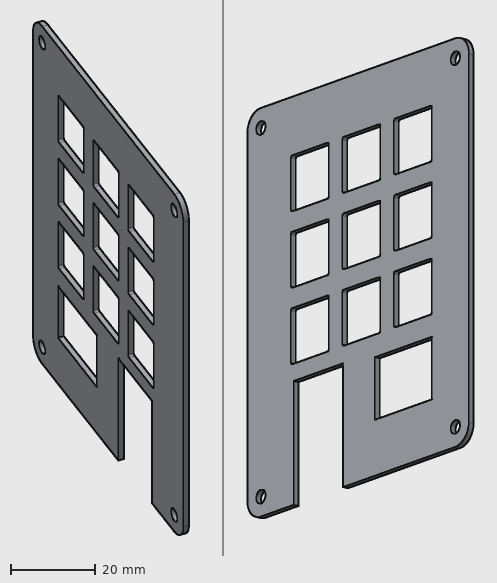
import cadquery as cq

plate_width = 82.0
plate_height = 102.0
plate_thickness = 1.5
corner_radius = 5.0

screw_hole_diameter = 3.4

key_count = 3
key_size = 14.0
key_pitch = 19.1
key_corner_radius = 0.5
key_grid_x = -1.2
key_grid_z = 10.3

window_width = 21.0
window_height = 15.6
window_top = -21.4

slot_left = 5.6
slot_width = 18.3
slot_depth = 30.9


def block(width, height, x, z):
    """Plate-thick block centred at (x, z)."""
    return cq.Workplane("XY").box(width, plate_thickness, height).translate((x, 0, z))


def make_plate():
    return block(plate_width, plate_height, 0, 0).edges("|Y").fillet(corner_radius)


def drill_screw_holes(plate):
    spacing_x = plate_width - 2 * corner_radius
    spacing_z = plate_height - 2 * corner_radius
    return (
        plate.faces("<Y")
        .workplane(centerOption="CenterOfBoundBox")
        .rarray(spacing_x, spacing_z, 2, 2)
        .hole(screw_hole_diameter)
    )


def cut_keys(plate):
    key = block(key_size, key_size, key_grid_x, key_grid_z).edges("|Y").fillet(key_corner_radius)
    middle = (key_count - 1) / 2
    for column in range(key_count):
        for row in range(key_count):
            offset = ((column - middle) * key_pitch, 0, (row - middle) * key_pitch)
            plate = plate.cut(key.translate(offset))
    return plate


def cut_window(plate):
    window_left = key_grid_x - (key_count - 1) / 2 * key_pitch - key_size / 2
    window_x = window_left + window_width / 2
    window_z = window_top - window_height / 2
    return plate.cut(block(window_width, window_height, window_x, window_z))


def cut_slot(plate):
    slot_x = slot_left + slot_width / 2
    slot_z = (slot_depth - plate_height) / 2
    return plate.cut(block(slot_width, slot_depth, slot_x, slot_z))


result = cut_slot(cut_window(cut_keys(drill_screw_holes(make_plate()))))